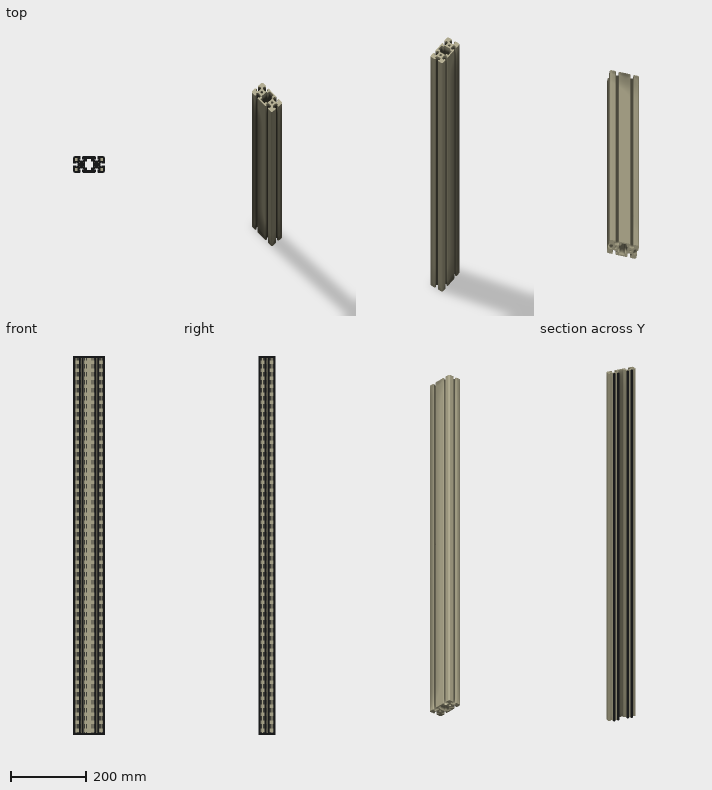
import cadquery as cq
import math

MODULE = 40.0
WIDTH = 2 * MODULE
DEPTH = MODULE
LENGTH = 1000.0
CORNER_RADIUS = 4.0

SLOT_MOUTH_WIDTH = 8.2
SLOT_LIP_RADIUS = 1.85
SLOT_LIP_THICKNESS = 4.5
SLOT_INNER_WIDTH = 14.4
SLOT_FLOOR_WIDTH = 4.4
SLOT_FLOOR_RADIUS = 6.5
SLOT_DEPTH = 11.8

CORE_DIAMETER = 6.8

CHAMBER_WIDTH = 24.2
CHAMBER_SIDE_HEIGHT = 20.0
CHAMBER_HEIGHT = 33.0
CHAMBER_NECK_WIDTH = 15.0


def make_bar():
    """Solid bar with rounded long edges, standing on Z = 0."""
    bar = cq.Workplane("XY").rect(WIDTH, DEPTH).extrude(LENGTH)
    return bar.edges("|Z").fillet(CORNER_RADIUS)


def make_slot():
    """Slot cutter that opens on the plane Y = 0 and runs in toward +Y."""
    mouth = SLOT_MOUTH_WIDTH / 2
    inner = SLOT_INNER_WIDTH / 2
    floor = SLOT_FLOOR_WIDTH / 2
    lip_outer = mouth + SLOT_LIP_RADIUS

    arc_angle = math.asin((inner - floor) / SLOT_FLOOR_RADIUS)
    arc_end_y = SLOT_DEPTH - SLOT_FLOOR_RADIUS * (1 - math.cos(arc_angle))
    arc_mid_x = floor + SLOT_FLOOR_RADIUS * math.sin(arc_angle / 2)
    arc_mid_y = SLOT_DEPTH - SLOT_FLOOR_RADIUS * (1 - math.cos(arc_angle / 2))

    lip_mid_x = lip_outer - SLOT_LIP_RADIUS * math.sin(math.pi / 4)
    lip_mid_y = SLOT_LIP_RADIUS * (1 - math.cos(math.pi / 4))

    outline = (
        cq.Workplane("XY")
        .moveTo(lip_outer, 0)
        .threePointArc((lip_mid_x, lip_mid_y), (mouth, SLOT_LIP_RADIUS))
        .lineTo(mouth, SLOT_LIP_THICKNESS)
        .lineTo(inner, SLOT_LIP_THICKNESS)
        .lineTo(inner, arc_end_y)
        .threePointArc((arc_mid_x, arc_mid_y), (floor, SLOT_DEPTH))
        .lineTo(-floor, SLOT_DEPTH)
        .threePointArc((-arc_mid_x, arc_mid_y), (-inner, arc_end_y))
        .lineTo(-inner, SLOT_LIP_THICKNESS)
        .lineTo(-mouth, SLOT_LIP_THICKNESS)
        .lineTo(-mouth, SLOT_LIP_RADIUS)
        .threePointArc((-lip_mid_x, lip_mid_y), (-lip_outer, 0))
        .close()
    )
    return outline.extrude(LENGTH)


def cut_slots(bar):
    """Cut the slots on the front, back and outer end of each module."""
    slot = make_slot().translate((0, -MODULE / 2, 0))
    for side in (-1, 1):
        for turn in (0, side * 90, 180):
            turned_slot = slot.rotate((0, 0, 0), (0, 0, 1), turn)
            bar = bar.cut(turned_slot.translate((side * MODULE / 2, 0, 0)))
    return bar


def cut_core_holes(bar):
    centres = [(-MODULE / 2, 0), (MODULE / 2, 0)]
    holes = cq.Workplane("XY").pushPoints(centres).circle(CORE_DIAMETER / 2).extrude(LENGTH)
    return bar.cut(holes)


def cut_chamber(bar):
    sides = cq.Workplane("XY").rect(CHAMBER_WIDTH, CHAMBER_SIDE_HEIGHT).extrude(LENGTH)
    neck = cq.Workplane("XY").rect(CHAMBER_NECK_WIDTH, CHAMBER_HEIGHT).extrude(LENGTH)
    return bar.cut(sides.union(neck))


slotted_bar = cut_slots(make_bar())
result = cut_chamber(cut_core_holes(slotted_bar))